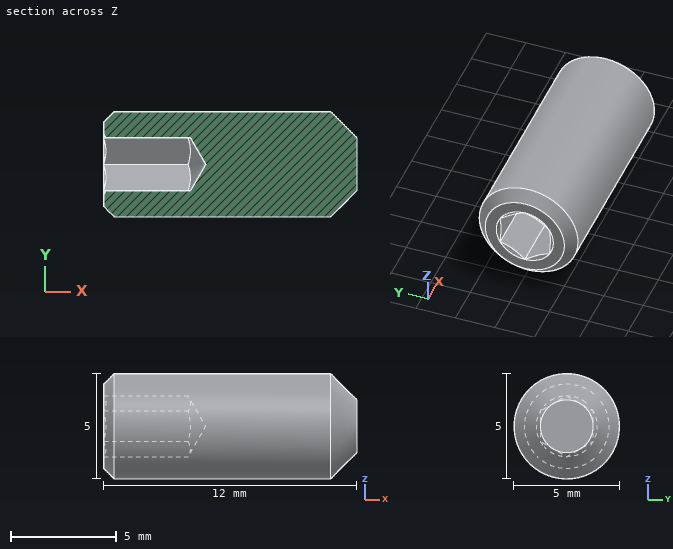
import cadquery as cq
import math

LENGTH = 12.0
DIAMETER = 5.0
CHAMFER = 0.5
POINT_DIAMETER = DIAMETER / 2
POINT_HALF_ANGLE = 45.0

ACROSS_FLATS = 2.5
SOCKET_DEPTH = 4.0
DRILL_CONE_HALF_ANGLE = 60.0
COUNTERSINK_HALF_ANGLE = 60.0

RADIUS = DIAMETER / 2
POINT_RADIUS = POINT_DIAMETER / 2
CORNER_RADIUS = ACROSS_FLATS / math.sqrt(3)


def cone_height(radius_change, half_angle):
    """Axial length over which a cone changes its radius by the given amount."""
    return radius_change / math.tan(math.radians(half_angle))


def revolve_about_x(outline):
    """Solid of revolution about X from (x, radius) points."""
    return cq.Workplane("XY").polyline(outline).close().revolve(360, (0, 0, 0), (1, 0, 0))


def make_body():
    point_length = cone_height(RADIUS - POINT_RADIUS, POINT_HALF_ANGLE)
    return revolve_about_x([
        (0, 0),
        (0, RADIUS - CHAMFER),
        (CHAMFER, RADIUS),
        (LENGTH - point_length, RADIUS),
        (LENGTH, POINT_RADIUS),
        (LENGTH, 0),
    ])


def make_socket():
    """Hexagonal hole with a conical bottom and a countersunk mouth."""
    drill_tip = SOCKET_DEPTH + cone_height(CORNER_RADIUS, DRILL_CONE_HALF_ANGLE)
    hexagon = (
        cq.Workplane("YZ")
        .transformed(rotate=(0, 0, 90))
        .polygon(6, 2 * CORNER_RADIUS)
        .extrude(drill_tip)
    )
    drilled_hole = revolve_about_x([
        (0, 0),
        (0, CORNER_RADIUS),
        (SOCKET_DEPTH, CORNER_RADIUS),
        (drill_tip, 0),
    ])
    countersink = revolve_about_x([
        (0, 0),
        (0, CORNER_RADIUS),
        (cone_height(CORNER_RADIUS, COUNTERSINK_HALF_ANGLE), 0),
    ])
    return hexagon.intersect(drilled_hole).union(countersink)


result = make_body().cut(make_socket())